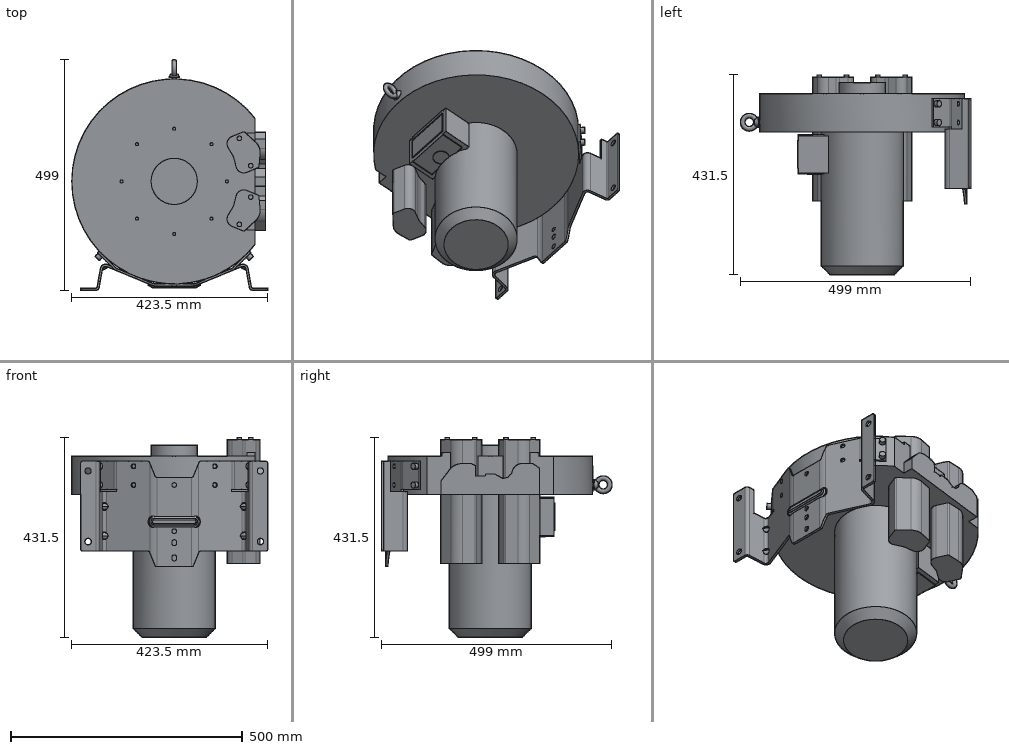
import cadquery as cq
import math

HOUSING_R = 221.5
HOUSING_H = 83.5
HOUSING_FLAT_X = 174.5

HUB_D = 100.0
HUB_TOP = 107.0

COVER_HOLE_D = 6.5
COVER_HOLE_DEPTH = 10.0
COVER_HOLE_CIRCLE_R = 113.5
COVER_HOLE_COUNT = 8

MOTOR_D = 177.5
MOTOR_BOTTOM = -308.0
MOTOR_CHAMFER = 19.5

SILENCER_ANGLE = 22.5
SILENCER_INNER = 132.5
SILENCER_WAIST = 138.5
SILENCER_SHOULDER = 180.5
SILENCER_APEX = 201.0
SILENCER_APEX_SIDE = -2.5
SILENCER_HALF_WIDTH = 42.0
SILENCER_LOBE_R = 17.0
SILENCER_SHOULDER_R = 4.0
SILENCER_WAIST_R = 59.0 / 2
SILENCER_APEX_R = 59.0 / 2
SILENCER_TOP = 118.5
SILENCER_BOTTOM = -149.0
PIN_D = 10.0
PIN_H = 5.0
PIN_RADIAL = 165.5
PIN_SIDE = 32.0

PORT_HALF_WIDTH = 106.0
PORT_OUTER_X = 197.5
PORT_TOP = 67.5
PORT_VALLEY_Z = 40.0
PORT_STEP_Y = 9.5
PORT_STEP_Z = 45.0
PORT_STEP_RUN = 2.0
REAR_HUMP_FOOT_Y = 27.5
REAR_HUMP_FOOT_Z = 35.0
REAR_HUMP_FLAT_YS = (71.0, 92.0)
REAR_HUMP_SHOULDER = (54.0, 61.5)
REAR_HUMP_FLANK = ((47.0, 47.5), (38.0, 37.5))
REAR_HUMP_END_Z = 57.5
FRONT_HUMP_FOOT_Y = -31.5
FRONT_HUMP_FOOT_Z = 62.5
FRONT_HUMP_FLAT_YS = (-41.5, -60.5)
FRONT_HUMP_SHOULDER = (-75.0, 64.5)
FRONT_HUMP_FLANK = (-85.5, 57.5)
FRONT_HUMP_END_Z = 30.0
PORT_BACK_X = 157.0
PORT_BACK_TOP = 91.0
PORT_PAD_INNER_Y = 40.0
PORT_PAD_OUTER_Y = 104.5

BOX_HALF_LENGTH = 60.0
BOX_FRONT_Y = 72.5
BOX_REAR_Y = 138.0
BOX_TOP = -8.0
BOX_BOTTOM = -88.0
BOX_PAD_HALF_LENGTH = 50.0
BOX_PAD_FRONT_Y = 83.0
BOX_PAD_H = 2.5
BOX_LID_MARGIN = 10.0
BOX_LID_T = 2.0
GLAND_D = 35.0
GLAND_H = 1.5

EYE_Z = 21.5
EYE_REAR_Y = 263.5
EYE_OUTER_R = 19.5
EYE_ROD_D = 10.5
EYE_SHANK_D = 9.5
EYE_SHANK_EMBED = 5.0
EYE_COLLAR_Y = 224.5
EYE_COLLAR_D = 23.5
EYE_COLLAR_TOP_D = 16.0
EYE_COLLAR_H = 8.0

SHEET_T = 5.0
SHEET_EMBED = 0.5
SHEET_MID_R = HOUSING_R - SHEET_EMBED + SHEET_T / 2
PANEL_ANGLE = 22.5
TAB_ANGLE = 2 * PANEL_ANGLE
TAB_REACH = 8.5
ARM_TILT = 10.0
FOOT_END_X = 202.0
FOOT_FRONT_Y = -235.5
FOOT_CORNER_X = 165.0
FOOT_BEND_R = 2.5
ARM_BEND_R = 6.5
TAB_BEND_R = 10.0
CENTRE_BEND_R = 35.0

BRACKET_TOP = 72.5
BRACKET_BOTTOM = -121.5
CENTRE_TOP = 37.5
CENTRE_BOTTOM = -155.5
CENTRE_NECK_X = 40.5
WING_INNER_X = 54.5
OUTLINE_CORNER_R = 4.0
TAB_BOTTOM = 11.5
NOTCH_BOTTOM = 6.5
NOTCH_INNER_X = 124.0
NOTCH_FRONT_Y = -216.0

FOOT_HOLE_D = 13.5
FOOT_HOLE_X = 186.0
FOOT_HOLE_ZS = (51.5, -101.5)
BRACKET_HOLE_D = 10.0
FASTENER_ZS = (61.5, 21.0)
WING_HOLE_ALONG = 2.0
CENTRE_HOLE_ZS = (21.0, -79.0)
CENTRE_SLOT_ZS = (-103.5, -136.5)
CENTRE_SLOT_L = 13.0
TAB_BOLT_D = 13.5
TAB_BOLT_H = 9.5

BEAD_Z = -58.5
BEAD_FRONT_Y = -230.5
BEAD_CREST_L = 94.0
BEAD_CREST_H = 8.0
BEAD_DEPTH = 8.0
BEAD_FLANK_ANGLE = 50.0
BEAD_SKIRT_Y = -228.0
BEAD_SKIRT_H = 15.0
BEAD_SKIRT_DEPTH = 3.5
BEAD_SKIRT_ANGLE = 60.0

GUSSET_ZS = (-25.5, -89.0)
GUSSET_H = 17.0
GUSSET_START = 6.0
GUSSET_END = 17.0
GUSSET_TAPER = 25.0


def rim_point(angle, radius, along=0.0):
    """XY point at an angle from -Y toward -X, shifted sideways along the tangent."""
    a = math.radians(angle)
    x = -radius * math.sin(a) - along * math.cos(a)
    y = -radius * math.cos(a) + along * math.sin(a)
    return x, y


def rim_cylinder(angle, diameter, start_r, end_r, z, along=0.0):
    """Cylinder square to the panel at the given angle, from start_r out to end_r."""
    a = math.radians(angle)
    outward = (-math.sin(a), -math.cos(a), 0)
    start = (*rim_point(angle, start_r, along), z)
    plane = cq.Plane(origin=start, xDir=(0, 0, 1), normal=outward)
    return cq.Workplane(plane).circle(diameter / 2).extrude(end_r - start_r)


def mirrored(body):
    return body.union(body.mirror("YZ"))


def bent_sheet(path, bend_radii, bottom, top):
    """Sheet of constant thickness along an XY mid-line, with an inner radius at each bend."""
    steps = [(b[0] - a[0], b[1] - a[1]) for a, b in zip(path, path[1:])]
    normals = [(-dy / math.hypot(dx, dy), dx / math.hypot(dx, dy)) for dx, dy in steps]
    before = [normals[0]] + normals
    after = normals + [normals[-1]]
    left, right = [], []
    for (x, y), n, m in zip(path, before, after):
        scale = SHEET_T / 2 / (1 + n[0] * m[0] + n[1] * m[1])
        dx, dy = (n[0] + m[0]) * scale, (n[1] + m[1]) * scale
        left.append((x + dx, y + dy))
        right.append((x - dx, y - dy))

    sheet = cq.Workplane("XY").workplane(offset=bottom)
    sheet = sheet.polyline(left + right[::-1]).close().extrude(top - bottom)
    for i, radius in enumerate(bend_radii, start=1):
        n, m = before[i], after[i]
        turns_left = n[0] * m[1] - n[1] * m[0] > 0
        inner, outer = (left[i], right[i]) if turns_left else (right[i], left[i])
        for corner, r in ((inner, radius), (outer, radius + SHEET_T)):
            near = cq.selectors.NearestToPointSelector((*corner, (bottom + top) / 2))
            sheet = sheet.edges("|Z").edges(near).fillet(r)
    return sheet


def housing():
    disc = cq.Workplane("XY").circle(HOUSING_R).extrude(HOUSING_H)
    beyond_flat = cq.Workplane("XY").box(
        HOUSING_R, 2 * HOUSING_R, HOUSING_H, centered=(False, True, False)
    )
    disc = disc.cut(beyond_flat.translate((HOUSING_FLAT_X, 0, 0)))
    holes = (
        cq.Workplane("XY")
        .workplane(offset=HOUSING_H)
        .polarArray(COVER_HOLE_CIRCLE_R, 0, 360, COVER_HOLE_COUNT)
        .circle(COVER_HOLE_D / 2)
        .extrude(-COVER_HOLE_DEPTH)
    )
    hub = cq.Workplane("XY").circle(HUB_D / 2).extrude(HUB_TOP)
    return disc.cut(holes).union(hub)


def motor():
    body = cq.Workplane("XY").circle(MOTOR_D / 2).extrude(MOTOR_BOTTOM)
    return body.faces("<Z").chamfer(MOTOR_CHAMFER)


def silencer():
    w = SILENCER_HALF_WIDTH
    outline = [
        (SILENCER_INNER, -w),
        (SILENCER_SHOULDER, -w),
        (SILENCER_APEX, SILENCER_APEX_SIDE),
        (SILENCER_SHOULDER, w),
        (SILENCER_INNER, w),
        (SILENCER_WAIST, 0),
    ]
    body = cq.Workplane("XY").workplane(offset=SILENCER_BOTTOM)
    body = body.polyline(outline).close().extrude(SILENCER_TOP - SILENCER_BOTTOM)
    radii = [
        SILENCER_LOBE_R,
        SILENCER_SHOULDER_R,
        SILENCER_APEX_R,
        SILENCER_SHOULDER_R,
        SILENCER_LOBE_R,
        SILENCER_WAIST_R,
    ]
    for corner, radius in zip(outline, radii):
        near = cq.selectors.NearestToPointSelector((*corner, (SILENCER_BOTTOM + SILENCER_TOP) / 2))
        body = body.edges("|Z").edges(near).fillet(radius)
    pins = (
        cq.Workplane("XY")
        .workplane(offset=SILENCER_TOP)
        .pushPoints([(PIN_RADIAL, -PIN_SIDE), (PIN_RADIAL, PIN_SIDE)])
        .circle(PIN_D / 2)
        .extrude(PIN_H)
    )
    return body.union(pins).rotate((0, 0, 0), (0, 0, 1), SILENCER_ANGLE)


def port_block():
    w = PORT_HALF_WIDTH
    pad = cq.Workplane("XY").box(
        HOUSING_FLAT_X - PORT_BACK_X, PORT_PAD_OUTER_Y - PORT_PAD_INNER_Y, PORT_BACK_TOP, centered=False
    )
    pad = pad.translate((0, PORT_PAD_INNER_Y, 0))
    front = (
        cq.Workplane("YZ")
        .moveTo(w, 0)
        .lineTo(w, REAR_HUMP_END_Z)
        .lineTo(REAR_HUMP_FLAT_YS[1], PORT_TOP)
        .lineTo(REAR_HUMP_FLAT_YS[0], PORT_TOP)
        .threePointArc(REAR_HUMP_SHOULDER, REAR_HUMP_FLANK[0])
        .lineTo(*REAR_HUMP_FLANK[1])
        .lineTo(REAR_HUMP_FOOT_Y, REAR_HUMP_FOOT_Z)
        .lineTo(PORT_STEP_Y, PORT_STEP_Z)
        .lineTo(-PORT_STEP_Y, PORT_STEP_Z)
        .lineTo(-PORT_STEP_Y - PORT_STEP_RUN, PORT_VALLEY_Z)
        .lineTo(FRONT_HUMP_FOOT_Y, PORT_VALLEY_Z)
        .lineTo(FRONT_HUMP_FOOT_Y, FRONT_HUMP_FOOT_Z)
        .lineTo(FRONT_HUMP_FLAT_YS[0], PORT_TOP)
        .lineTo(FRONT_HUMP_FLAT_YS[1], PORT_TOP)
        .threePointArc(FRONT_HUMP_SHOULDER, FRONT_HUMP_FLANK)
        .lineTo(-w, FRONT_HUMP_END_Z)
        .lineTo(-w, 0)
        .close()
        .extrude(PORT_OUTER_X - PORT_BACK_X)
    )
    return front.union(pad).union(pad.mirror("XZ")).translate((PORT_BACK_X, 0, 0))


def terminal_box():
    def block(half_x, y0, y1, z0, z1):
        box = cq.Workplane("XY").box(2 * half_x, y1 - y0, z1 - z0, centered=(True, False, False))
        return box.translate((0, y0, z0))

    pad_bottom = BOX_BOTTOM - BOX_PAD_H
    lid_half = BOX_HALF_LENGTH - BOX_LID_MARGIN
    box = block(BOX_HALF_LENGTH, BOX_FRONT_Y, BOX_REAR_Y, BOX_BOTTOM, BOX_TOP)
    pads = block(BOX_PAD_HALF_LENGTH, BOX_PAD_FRONT_Y, BOX_REAR_Y, pad_bottom, BOX_TOP + BOX_PAD_H)
    lid = block(
        lid_half, BOX_FRONT_Y, BOX_REAR_Y + BOX_LID_T, BOX_BOTTOM + BOX_LID_MARGIN, BOX_TOP - BOX_LID_MARGIN
    )
    gland = cq.Workplane("XY").workplane(offset=pad_bottom)
    gland = gland.center(0, BOX_PAD_FRONT_Y + GLAND_D / 2).circle(GLAND_D / 2).extrude(-GLAND_H)
    return box.union(pads).union(lid).union(gland)


def lifting_eye():
    ring_r = EYE_OUTER_R - EYE_ROD_D / 2
    ring = cq.Solid.makeTorus(
        ring_r, EYE_ROD_D / 2, cq.Vector(0, EYE_REAR_Y - EYE_OUTER_R, EYE_Z), cq.Vector(1, 0, 0)
    )
    rearward = cq.Vector(0, 1, 0)
    collar = cq.Solid.makeCone(
        EYE_COLLAR_D / 2, EYE_COLLAR_TOP_D / 2, EYE_COLLAR_H, cq.Vector(0, EYE_COLLAR_Y, EYE_Z), rearward
    )
    shank_start = HOUSING_R - EYE_SHANK_EMBED
    shank = cq.Solid.makeCylinder(
        EYE_SHANK_D / 2, EYE_COLLAR_Y - shank_start, cq.Vector(0, shank_start, EYE_Z), rearward
    )
    return cq.Workplane(ring).union(cq.Workplane(collar)).union(cq.Workplane(shank))


def arm_corner():
    """Mid-line corner where the left wing panel meets the arm that leads to the foot."""
    a, tilt = math.radians(PANEL_ANGLE), math.radians(ARM_TILT)
    foot_x, foot_y = -FOOT_CORNER_X, FOOT_FRONT_Y + SHEET_T / 2
    outward = (-math.sin(a), -math.cos(a))
    foot_r = foot_x * outward[0] + foot_y * outward[1]
    arm_per_length = math.sin(tilt) * outward[0] + math.cos(tilt) * outward[1]
    length = (SHEET_MID_R - foot_r) / arm_per_length
    return foot_x + length * math.sin(tilt), foot_y + length * math.cos(tilt)


def footed_sheet():
    """Centre panel, both wings, both arms and both feet, folded from one strip."""
    foot_y = FOOT_FRONT_Y + SHEET_T / 2
    centre_corner = rim_point(PANEL_ANGLE / 2, SHEET_MID_R / math.cos(math.radians(PANEL_ANGLE / 2)))
    left_half = [(-FOOT_END_X, foot_y), (-FOOT_CORNER_X, foot_y), arm_corner(), centre_corner]
    path = left_half + [(-x, y) for x, y in reversed(left_half)]
    radii = [FOOT_BEND_R, ARM_BEND_R, CENTRE_BEND_R]
    strip = bent_sheet(path, radii + radii[::-1], CENTRE_BOTTOM, BRACKET_TOP)

    left_edge = [
        (-CENTRE_NECK_X, CENTRE_TOP),
        (-WING_INNER_X, BRACKET_TOP),
        (-FOOT_END_X, BRACKET_TOP),
        (-FOOT_END_X, BRACKET_BOTTOM),
        (-WING_INNER_X, BRACKET_BOTTOM),
        (-CENTRE_NECK_X, CENTRE_BOTTOM),
    ]
    right_edge = [(-x, z) for x, z in reversed(left_edge)]
    outline = cq.Workplane("XZ").polyline(left_edge + right_edge).close().extrude(HOUSING_R + SHEET_MID_R)
    outline = outline.edges("|Y").fillet(OUTLINE_CORNER_R)

    notch = cq.Workplane("XY").box(
        FOOT_END_X - NOTCH_INNER_X, -NOTCH_FRONT_Y, BRACKET_TOP - NOTCH_BOTTOM, centered=False
    )
    notch = notch.translate((NOTCH_INNER_X, NOTCH_FRONT_Y, NOTCH_BOTTOM))
    return strip.intersect(outline).cut(mirrored(notch))


def tab():
    """Left tab: bends off the wing panel to lie against the rim, held by two bolts."""
    bend_angle = (PANEL_ANGLE + TAB_ANGLE) / 2
    bend = rim_point(bend_angle, SHEET_MID_R / math.cos(math.radians(PANEL_ANGLE / 2)))
    path = [rim_point(TAB_ANGLE, SHEET_MID_R, TAB_REACH), bend, rim_point(PANEL_ANGLE, SHEET_MID_R)]
    body = bent_sheet(path, [TAB_BEND_R], TAB_BOTTOM, BRACKET_TOP)
    head_end = SHEET_MID_R + SHEET_T / 2 + TAB_BOLT_H
    for z in FASTENER_ZS:
        body = body.union(rim_cylinder(TAB_ANGLE, TAB_BOLT_D, SHEET_MID_R, head_end, z))
    return body


def gussets():
    """Two ridges pressed across the left bend between wing and arm."""
    a, tilt = math.radians(PANEL_ANGLE), math.radians(ARM_TILT)
    x, y = arm_corner()
    wing = (math.cos(a), -math.sin(a))
    arm = (-math.sin(tilt), -math.cos(tilt))
    legs = [(wing, GUSSET_START), (wing, GUSSET_END), (arm, GUSSET_END), (arm, GUSSET_START)]
    section = [(x + u * length, y + v * length) for (u, v), length in legs]
    ridges = cq.Workplane("XY")
    for z in GUSSET_ZS:
        base = cq.Workplane("XY").workplane(offset=z).polyline(section).close()
        upper = base.extrude(GUSSET_H / 2, taper=GUSSET_TAPER)
        ridges = ridges.union(upper).union(upper.mirror("XY", (0, 0, z)))
    return ridges


def bead():
    """Stiffening bead across the centre panel: a ridge that rises from a flatter skirt."""

    def tapered_slot(front_y, length, height, depth, flank_angle):
        base = cq.Workplane("XZ", origin=(0, front_y, BEAD_Z)).slot2D(length, height)
        return base.extrude(-depth, taper=-flank_angle)

    straight = BEAD_CREST_L - BEAD_CREST_H
    ridge = tapered_slot(BEAD_FRONT_Y, BEAD_CREST_L, BEAD_CREST_H, BEAD_DEPTH, BEAD_FLANK_ANGLE)
    skirt = tapered_slot(
        BEAD_SKIRT_Y, straight + BEAD_SKIRT_H, BEAD_SKIRT_H, BEAD_SKIRT_DEPTH, BEAD_SKIRT_ANGLE
    )
    return ridge.union(skirt)


def bracket_holes():
    through_start = SHEET_MID_R - SHEET_T / 2 + SHEET_EMBED
    through_end = SHEET_MID_R + SHEET_T
    feet = cq.Workplane("XZ", origin=(0, FOOT_FRONT_Y, 0))
    feet = feet.pushPoints([(x, z) for x in (-FOOT_HOLE_X, FOOT_HOLE_X) for z in FOOT_HOLE_ZS])
    holes = feet.circle(FOOT_HOLE_D / 2).extrude(-SHEET_T)
    for z in FASTENER_ZS:
        wing_hole = rim_cylinder(
            PANEL_ANGLE, BRACKET_HOLE_D, through_start, through_end, z, WING_HOLE_ALONG
        )
        holes = holes.union(mirrored(wing_hole))
    for z in CENTRE_HOLE_ZS:
        holes = holes.union(rim_cylinder(0, BRACKET_HOLE_D, through_start, through_end, z))
    slots = cq.Workplane("XZ", origin=(0, -through_start, 0))
    slots = slots.pushPoints([(0, z) for z in CENTRE_SLOT_ZS])
    slots = slots.slot2D(CENTRE_SLOT_L, BRACKET_HOLE_D, 90).extrude(through_end - through_start)
    return holes.union(slots)


def bracket():
    body = footed_sheet().union(mirrored(tab())).union(mirrored(gussets())).union(bead())
    return body.cut(bracket_holes())


result = (
    housing()
    .union(motor())
    .union(silencer())
    .union(silencer().mirror("XZ"))
    .union(port_block())
    .union(terminal_box())
    .union(lifting_eye())
    .union(bracket())
)